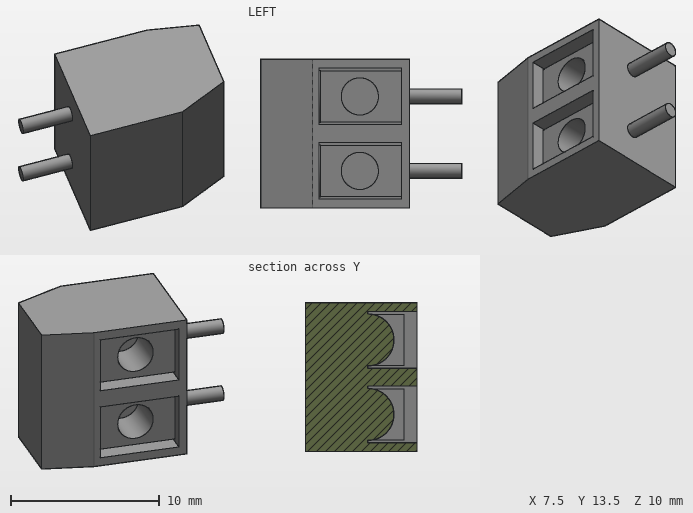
import cadquery as cq

overall_length = 13.5
body_width = 7.5
body_length = 10.0
body_height = 10.0
shoulder_y = 6.53
left_taper = 0.7
right_taper = 1.6

pole_pitch = body_height / 2
pole_heights = (-pole_pitch / 2, pole_pitch / 2)
pole_x = (left_taper + body_width - right_taper) / 2

pocket_start_y = 0.57
pocket_end_y = 6.09
pocket_height = 3.8
pocket_depth = pole_x

clamp_front_x = 0.88
clamp_end_y = 6.0
clamp_height = 3.4
screw_diameter = 3.5

wire_hole_diameter = 2.5
wire_hole_depth = 3.24
wire_hole_y = 3.35

pin_diameter = 1.0
pin_length = overall_length - body_length


def box_between(start_x, end_x, start_y, end_y, height, center_z):
    """Box with given X and Y limits, centred on a height."""
    return (
        cq.Workplane("XY")
        .box(end_x - start_x, end_y - start_y, height, centered=(False, False, True))
        .translate((start_x, start_y, center_z))
    )


def rod_along_y(diameter, start_y, end_y, z):
    """Round rod on the pole centre plane, running along Y."""
    rod = cq.Solid.makeCylinder(
        diameter / 2, end_y - start_y, cq.Vector(pole_x, start_y, z), cq.Vector(0, 1, 0)
    )
    return cq.Workplane(obj=rod)


def make_housing():
    outline = [
        (0, 0),
        (body_width, 0),
        (body_width, shoulder_y),
        (body_width - right_taper, body_length),
        (left_taper, body_length),
        (0, shoulder_y),
    ]
    return cq.Workplane("XY").polyline(outline).close().extrude(body_height / 2, both=True)


def make_wire_hole(z):
    hole = cq.Solid.makeCylinder(
        wire_hole_diameter / 2,
        wire_hole_depth,
        cq.Vector(clamp_front_x, wire_hole_y, z),
        cq.Vector(1, 0, 0),
    )
    return cq.Workplane(obj=hole)


def add_pole(body, z):
    """Cut one wire pocket and fit its screw, drilled clamp block and pin."""
    pocket = box_between(0, pocket_depth, pocket_start_y, pocket_end_y, pocket_height, z)
    clamp = box_between(clamp_front_x, pocket_depth, pocket_start_y, clamp_end_y, clamp_height, z)
    screw = rod_along_y(screw_diameter, clamp_end_y, pocket_end_y, z)
    pin = rod_along_y(pin_diameter, -pin_length, 0, z)
    body = body.cut(pocket).union(clamp).union(screw)
    return body.cut(make_wire_hole(z)).union(pin)


result = make_housing()
for pole_z in pole_heights:
    result = add_pole(result, pole_z)